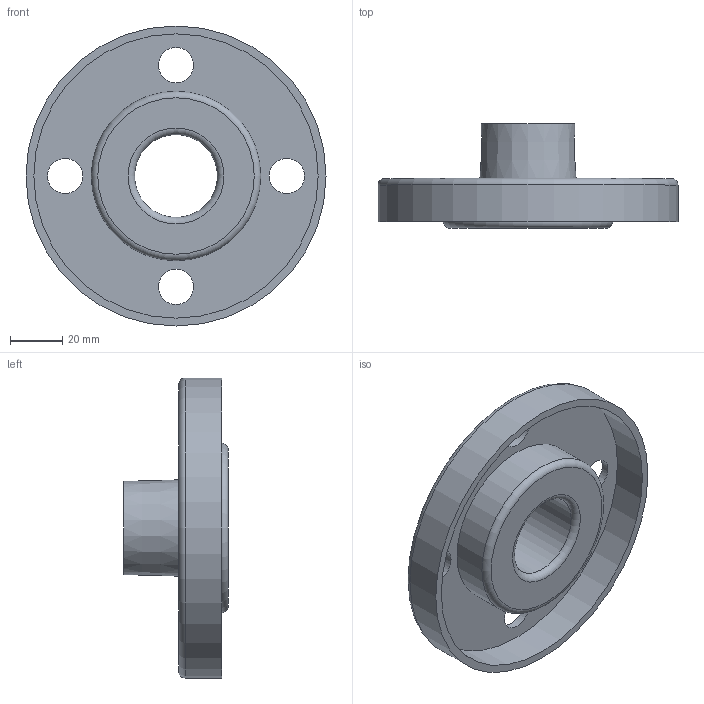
import cadquery as cq
import math

flange_diameter = 115.0
flange_depth = 16.5
rim_wall = 3.0
web_thickness = 3.0
edge_radius = 2.5

hub_diameter = 65.0
hub_projection = 2.5

sleeve_base_diameter = 36.9
sleeve_end_diameter = 35.75
sleeve_length = 21.0
bore_diameter = 31.75

bolt_count = 4
bolt_hole_diameter = 13.5
bolt_circle_diameter = 85.0

rim_face = 0.0
hub_face = rim_face - hub_projection
flange_back = rim_face + flange_depth
recess_floor = flange_back - web_thickness
sleeve_end = flange_back + sleeve_length


def turned(points):
    """Solid of revolution about Y from an outline of (Y position, radius) points."""
    outline = cq.Workplane("YZ").polyline(points).close()
    return outline.revolve(360, (0, 0, 0), (1, 0, 0))


def cylinder(diameter, start, end):
    """Solid cylinder on the Y axis between two Y positions."""
    radius = diameter / 2
    return turned([(start, 0), (start, radius), (end, radius), (end, 0)])


def make_flange():
    """Shallow dish with a rounded back edge."""
    disc = cylinder(flange_diameter, rim_face, flange_back)
    disc = disc.faces(">Y").edges().fillet(edge_radius)
    recess = cylinder(flange_diameter - 2 * rim_wall, rim_face, recess_floor)
    return disc.cut(recess)


def make_hub():
    """Hub in the recess with a rounded front edge."""
    hub = cylinder(hub_diameter, hub_face, flange_back)
    return hub.faces("<Y").edges().fillet(edge_radius)


def make_sleeve():
    """Sleeve narrowing away from the flange, rooted inside the hub."""
    base_radius = sleeve_base_diameter / 2
    end_radius = sleeve_end_diameter / 2
    return turned([
        (recess_floor, 0),
        (recess_floor, base_radius),
        (flange_back, base_radius),
        (sleeve_end, end_radius),
        (sleeve_end, 0),
    ])


def cut_bore(body):
    """Through bore with a rounded mouth on the hub face."""
    bored = body.cut(cylinder(bore_diameter, hub_face, sleeve_end))
    mouth = bored.faces("<Y").edges(cq.selectors.RadiusNthSelector(0))
    return mouth.fillet(edge_radius)


def cut_bolt_holes(body):
    """Ring of through holes in the web."""
    bolt_circle_radius = bolt_circle_diameter / 2
    hole = cylinder(bolt_hole_diameter, recess_floor, flange_back)
    for index in range(bolt_count):
        angle = math.radians(index * 360 / bolt_count)
        x = bolt_circle_radius * math.cos(angle)
        z = bolt_circle_radius * math.sin(angle)
        body = body.cut(hole.translate((x, 0, z)))
    return body


body = make_flange().union(make_hub()).union(make_sleeve())
result = cut_bolt_holes(cut_bore(body))